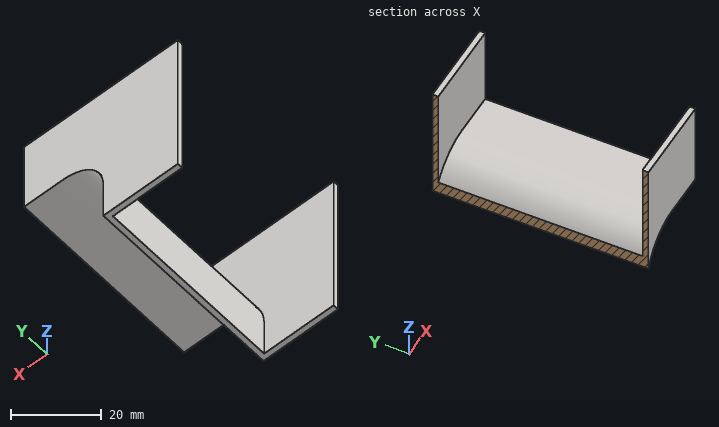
import cadquery as cq
import math

side = 45.0
width = 53.5
wall = 1.5
leg = 21.8
inner_radius = 12.0

outer_radius = inner_radius + wall
web_offset = leg - wall
channel_width = width - 2 * wall
bend_x = leg + inner_radius
bend_z = side - bend_x


def corner_prism(offset, radius, length):
    """L-shaped prism along +Y with legs `offset` wide and a rounded inside corner.

    The lower left corner of the L lies at the origin of the XZ plane.
    """
    arc_mid = radius * math.cos(math.radians(45))
    outline = (
        cq.Workplane("XZ")
        .lineTo(offset, 0)
        .lineTo(offset, bend_z)
        .threePointArc((bend_x - arc_mid, bend_z + arc_mid), (bend_x, side - offset))
        .lineTo(side, side - offset)
        .lineTo(side, side)
        .lineTo(0, side)
        .close()
    )
    return outline.extrude(-length)


def make_body():
    """Full-width L block between the outer faces of the cheeks."""
    return corner_prism(leg, inner_radius, width)


def make_channel():
    """Open space between the cheeks, on the outer side of the curved web."""
    return corner_prism(web_offset, outer_radius, channel_width).translate((0, wall, 0))


result = make_body().cut(make_channel())